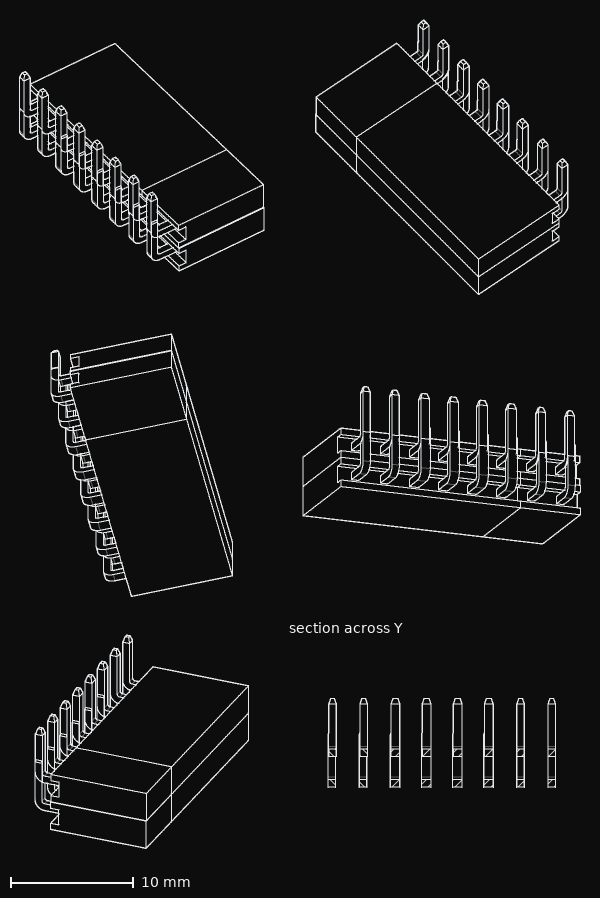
import cadquery as cq

main_length = 15.75
lower_row_length = 21.0
upper_row_length = 20.94
stack_height = 5.02
row_height = stack_height / 2
housing_depth = 8.5
lip_thickness = 0.57
slot_depth = 0.71

pin_size = 0.63
pin_pitch = 2.55
pins_per_set = 6
pin_reach = 1.91
inner_bend_radius = 0.2
outer_bend_radius = inner_bend_radius + pin_size
pin_rise = 3.2
tip_height = 0.46
tip_width = pin_size / 2

first_pin_x = (main_length - (pins_per_set - 1) * pin_pitch) / 2
leg_bottom = (row_height - pin_size) / 2
slot_height = row_height - 2 * lip_thickness


def make_block(x_start, x_end):
    """Housing block of one row with a slot along its front face."""
    length = x_end - x_start
    block = cq.Workplane("XY").box(length, housing_depth, row_height, centered=False)
    slot = (
        cq.Workplane("XY")
        .box(length, slot_depth, slot_height, centered=False)
        .translate((0, 0, lip_thickness))
    )
    return block.cut(slot).translate((x_start, 0, 0))


def make_pin(x_center):
    """Right-angle pin: a leg out of the slot, a rounded bend, a post and a tapered tip."""
    post_front = -pin_reach
    post_back = post_front + pin_size
    leg_top = leg_bottom + pin_size
    shoulder = row_height + pin_rise - tip_height
    bent_bar = (
        cq.Workplane("YZ")
        .moveTo(slot_depth, leg_bottom)
        .lineTo(post_front + outer_bend_radius, leg_bottom)
        .radiusArc((post_front, leg_bottom + outer_bend_radius), outer_bend_radius)
        .lineTo(post_front, shoulder)
        .lineTo(post_back, shoulder)
        .lineTo(post_back, leg_top + inner_bend_radius)
        .radiusArc((post_back + inner_bend_radius, leg_top), -inner_bend_radius)
        .lineTo(slot_depth, leg_top)
        .close()
        .extrude(pin_size / 2, both=True)
    )
    tip = (
        cq.Workplane("XY", origin=(0, post_front + pin_size / 2, shoulder))
        .rect(pin_size, pin_size)
        .workplane(offset=tip_height)
        .rect(tip_width, tip_width)
        .loft(ruled=True)
    )
    return bent_bar.union(tip).translate((x_center, 0, 0))


def pin_positions(row_length):
    """Centres of all pins in a row, from both pin sets."""
    set_starts = (0, row_length - main_length)
    return [
        start + first_pin_x + i * pin_pitch
        for start in set_starts
        for i in range(pins_per_set)
    ]


def make_body(x_start, x_end, row_length):
    """Housing block together with the pins that stand on it."""
    body = make_block(x_start, x_end)
    for x in pin_positions(row_length):
        if x_start < x < x_end:
            body = body.union(make_pin(x))
    return body


upper_main = make_body(0, main_length, upper_row_length).translate((0, 0, row_height))
upper_end = make_body(main_length, upper_row_length, upper_row_length).translate((0, 0, row_height))

lower_main = make_body(0, main_length, lower_row_length).cut(upper_main)
lower_end = make_body(main_length, lower_row_length, lower_row_length).cut(upper_end)

bodies = [upper_main, upper_end, lower_main, lower_end]
result = cq.Compound.makeCompound([body.solids().val() for body in bodies])